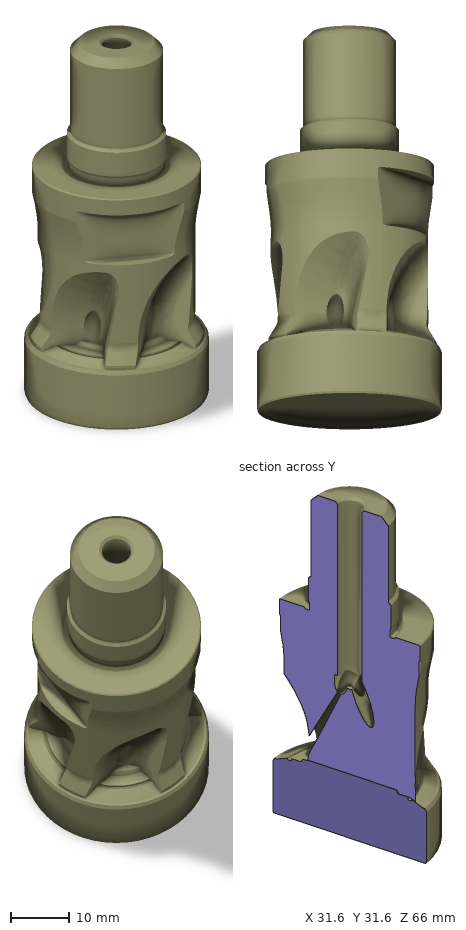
import cadquery as cq
import math

RING_RADIUS = 31.6 / 2
RING_TOP_RADIUS = 15.45
RING_TOP = 10.95
RING_TOP_CHAMFER = 0.65
RING_BOTTOM_CHAMFER = 0.3
RING_BOTTOM_CHAMFER_WIDTH = 0.1

SEAT_OUTER_RADIUS = 15.0
SEAT_CREST_RADIUS = 12.7
SEAT_CREST = 11.9
SEAT_GROOVE_WIDTH = 0.65
SEAT_GROOVE_DEPTH = 0.3
SEAT_FLAT = 12.0
HUB_RADIUS = 10.0
HUB_TOP_RADIUS = 9.5
HUB_TOP = 12.7

LAND_TOP = 11.7
FLARE_BOTTOM = 13.8
FLARE_BOTTOM_RADIUS = 13.7
FLARE_TOP = 15.25
NECK_RADIUS = 27.0 / 2
NECK_TOP = 30.5
CONE_BOTTOM = 34.1
CONE_BOTTOM_RADIUS = 13.8
CONE_TOP = 37.75
CONE_TOP_RADIUS = 14.45
FLANGE_RADIUS = 29.0 / 2
FLANGE_BOTTOM = 38.3
FLANGE_TOP = 42.95
FLANGE_CHAMFER = 0.2

DISH_OUTER_RADIUS = 9.5
DISH_INNER_RADIUS = 9.0
DISH_DEPTH = 0.3

GROOVE_RADIUS = 16.6 / 2
GROOVE_TOP = 44.1
COLLAR_RADIUS = 17.0 / 2
COLLAR_BOTTOM = 44.5
COLLAR_TOP = 49.5
COLLAR_CHAMFER = 0.5
SHANK_RADIUS = 16.0 / 2
SHANK_TOP = 66.0
SHANK_CHAMFER = 1.45

BORE_RADIUS = 5.0 / 2
BORE_CHAMFER = 0.45
BORE_BOTTOM = 31.0
BORE_TIP_ANGLE = 118
COOLANT_RADIUS = 3.0 / 2
COOLANT_EXIT_RADIUS = 8.85
COOLANT_EXIT_Z = 15.1
COOLANT_START_RADIUS = 1.6
COOLANT_START_Z = 31.35
COOLANT_SWIRL = 62
COOLANT_OVERRUN = 3.95

FLAT_COUNT = 2
FLAT_DISTANCE = 22.0 / 2
FLAT_ANGLE = 320.3
FLAT_BOTTOM = 30.0
FLAT_TOP = 39.9
FLAT_CORNER_RADIUS = 0.4

FLUTE_COUNT = 5
FIRST_EXIT_ANGLE = 279.7
FLOOR_NORMAL_ANGLE = 33
FLUTE_HELIX = 11
FLOOR_DISTANCE = 6.6
RAKE_OFFSET = 2.3
RAKE_REFERENCE_Z = 15.85
RUNOUT_START = 12.9
RUNOUT_RADIUS = 21.1
FLOOR_FILLET = 3.3
FLOOR_RISE = 0.24
FLUTE_REACH = 10.55
FLUTE_WIDTH = 15.85
FLUTE_BOTTOM = -7.9


def revolve(outline):
    return outline.close().revolve(360, (0, 0, 0), (0, 1, 0))


def make_ring():
    groove_bottom = SEAT_CREST - SEAT_GROOVE_DEPTH
    groove_inner_radius = SEAT_CREST_RADIUS - SEAT_GROOVE_WIDTH
    outline = cq.Workplane("XZ").polyline([
        (0, 0),
        (RING_RADIUS - RING_BOTTOM_CHAMFER_WIDTH, 0),
        (RING_RADIUS, RING_BOTTOM_CHAMFER),
        (RING_RADIUS, RING_TOP - RING_TOP_CHAMFER),
        (RING_TOP_RADIUS, RING_TOP),
        (SEAT_OUTER_RADIUS, RING_TOP),
        (SEAT_CREST_RADIUS, SEAT_CREST),
        (SEAT_CREST_RADIUS, groove_bottom),
        (groove_inner_radius, groove_bottom),
        (groove_inner_radius, SEAT_FLAT),
        (HUB_RADIUS, SEAT_FLAT),
        (HUB_TOP_RADIUS, HUB_TOP),
        (0, HUB_TOP),
    ])
    return revolve(outline)


def make_turned_holder():
    outline = (
        cq.Workplane("XZ")
        .moveTo(0, HUB_TOP)
        .lineTo(HUB_TOP_RADIUS, HUB_TOP)
        .lineTo(HUB_RADIUS, SEAT_FLAT)
        .lineTo(SEAT_CREST_RADIUS, SEAT_FLAT)
        .lineTo(SEAT_CREST_RADIUS, SEAT_CREST)
        .lineTo(SEAT_OUTER_RADIUS, RING_TOP)
        .lineTo(SEAT_OUTER_RADIUS, LAND_TOP)
        .lineTo(FLARE_BOTTOM_RADIUS, FLARE_BOTTOM)
        .tangentArcPoint((NECK_RADIUS, FLARE_TOP), relative=False)
        .lineTo(NECK_RADIUS, NECK_TOP)
        .tangentArcPoint((CONE_BOTTOM_RADIUS, CONE_BOTTOM), relative=False)
        .lineTo(CONE_TOP_RADIUS, CONE_TOP)
        .tangentArcPoint((FLANGE_RADIUS, FLANGE_BOTTOM), relative=False)
        .lineTo(FLANGE_RADIUS, FLANGE_TOP - FLANGE_CHAMFER)
        .lineTo(FLANGE_RADIUS - FLANGE_CHAMFER, FLANGE_TOP)
        .lineTo(DISH_OUTER_RADIUS, FLANGE_TOP)
        .lineTo(DISH_INNER_RADIUS, FLANGE_TOP - DISH_DEPTH)
        .lineTo(GROOVE_RADIUS, FLANGE_TOP - DISH_DEPTH)
        .lineTo(GROOVE_RADIUS, GROOVE_TOP)
        .lineTo(COLLAR_RADIUS, COLLAR_BOTTOM)
        .lineTo(COLLAR_RADIUS, COLLAR_TOP - COLLAR_CHAMFER)
        .lineTo(SHANK_RADIUS, COLLAR_TOP)
        .lineTo(SHANK_RADIUS, SHANK_TOP - SHANK_CHAMFER)
        .lineTo(SHANK_RADIUS - SHANK_CHAMFER, SHANK_TOP)
        .lineTo(0, SHANK_TOP)
    )
    return revolve(outline)


def make_bore():
    tip_depth = BORE_RADIUS / math.tan(math.radians(BORE_TIP_ANGLE / 2))
    outline = cq.Workplane("XZ").polyline([
        (0, BORE_BOTTOM - tip_depth),
        (BORE_RADIUS, BORE_BOTTOM),
        (BORE_RADIUS, SHANK_TOP - BORE_CHAMFER),
        (BORE_RADIUS + BORE_CHAMFER, SHANK_TOP),
        (0, SHANK_TOP),
    ])
    return revolve(outline)


def make_coolant_hole():
    """Inclined hole from the bore, with its exit point in the +X direction."""
    swirl = math.radians(-COOLANT_SWIRL)
    start = cq.Vector(
        COOLANT_START_RADIUS * math.cos(swirl),
        COOLANT_START_RADIUS * math.sin(swirl),
        COOLANT_START_Z,
    )
    span = cq.Vector(COOLANT_EXIT_RADIUS, 0, COOLANT_EXIT_Z) - start
    length = span.Length + COOLANT_OVERRUN
    return cq.Workplane(cq.Solid.makeCylinder(COOLANT_RADIUS, length, start, span))


def make_flute_cutter():
    """Flute void: floor facing +X, rake face on its +Y side."""
    helix = math.radians(FLUTE_HELIX)
    along = cq.Vector(0, math.sin(helix), math.cos(helix))
    outward = cq.Vector(1, 0, 0)
    drop = RAKE_REFERENCE_Z * math.tan(helix)
    origin = cq.Vector(FLOOR_DISTANCE, -RAKE_OFFSET - drop, 0)
    rake_plane = cq.Plane(origin, outward, outward.cross(along))

    bottom = FLUTE_BOTTOM / math.cos(helix)
    start = RUNOUT_START / math.cos(helix)
    sweep = math.acos(1 - FLUTE_REACH / RUNOUT_RADIUS)
    end = start + RUNOUT_RADIUS * math.sin(sweep)
    profile = (
        cq.Workplane(rake_plane)
        .moveTo(FLUTE_REACH, bottom)
        .lineTo(0, bottom)
        .lineTo(0, start)
        .tangentArcPoint((FLUTE_REACH, end), relative=False)
        .close()
    )
    across = cq.Vector(0, -FLUTE_WIDTH, FLUTE_WIDTH * FLOOR_RISE)
    blank = cq.Workplane(cq.Solid.extrudeLinear(profile.val(), [], across))
    return blank.faces(">Y").edges("<X or %CIRCLE").fillet(FLOOR_FILLET)


def make_spanner_pocket():
    """Pocket leaving a flat that faces +X, with rounded inner corners."""
    depth = 2 * FLANGE_RADIUS
    height = FLAT_TOP - FLAT_BOTTOM
    return (
        cq.Workplane("XY")
        .box(depth, 2 * depth, height, centered=(False, True, False))
        .edges("<X and |Y")
        .fillet(FLAT_CORNER_RADIUS)
        .translate((FLAT_DISTANCE, 0, FLAT_BOTTOM))
    )


def turned_by(shape, angle):
    return shape.rotate((0, 0, 0), (0, 0, 1), angle)


def make_holder():
    holder = make_turned_holder().cut(make_bore())

    flute = turned_by(make_flute_cutter(), FLOOR_NORMAL_ANGLE)
    coolant_hole = make_coolant_hole()
    for index in range(FLUTE_COUNT):
        angle = FIRST_EXIT_ANGLE + index * 360 / FLUTE_COUNT
        holder = holder.cut(turned_by(flute, angle))
        holder = holder.cut(turned_by(coolant_hole, angle))

    pocket = make_spanner_pocket()
    for index in range(FLAT_COUNT):
        holder = holder.cut(turned_by(pocket, FLAT_ANGLE + index * 360 / FLAT_COUNT))
    return holder


holder = make_holder()
ring = make_ring()
result = cq.Compound.makeCompound([holder.val(), ring.val()])